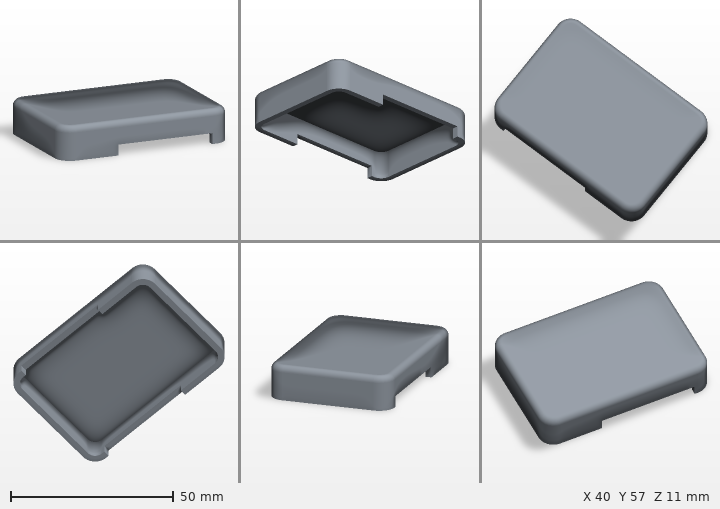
import cadquery as cq

length = 57.0
width = 40.0
height = 11.0
corner_radius = 5.0
top_edge_radius = 2.0

wall = 2.0

notch_depth = 3.5
notch_length = 31.75
notch_end_offset = 6.1


def rounded_block(size_x, size_y, size_z, radius):
    """Block standing on Z = 0 with rounded vertical edges."""
    block = cq.Workplane("XY").box(size_x, size_y, size_z, centered=(True, True, False))
    return block.edges("|Z").fillet(radius)


def outer_body():
    body = rounded_block(width, length, height, corner_radius)
    return body.faces(">Z").edges().fillet(top_edge_radius)


def cavity():
    return rounded_block(
        width - 2 * wall,
        length - 2 * wall,
        height - wall,
        corner_radius - wall,
    )


def side_notch():
    center_y = length / 2 - notch_end_offset - notch_length / 2
    return (
        cq.Workplane("XY")
        .box(width, notch_length, notch_depth, centered=(True, True, False))
        .translate((0, center_y, 0))
    )


result = outer_body().cut(cavity()).cut(side_notch())